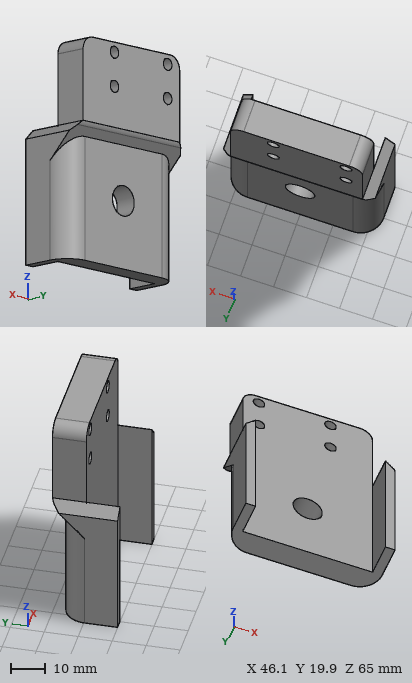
import cadquery as cq

height = 65.0
plate_width = 40.05
plate_depth = 10.0
top_corner_radius = 4.0

wing_thickness = 3.0
total_depth = 19.9
wing_height = 40.0
wing_chamfer = wing_thickness
overall_width = plate_width + 2 * wing_thickness

back_recess = 3.2
back_corner_radius = 7.0
overhang_top = 39.5
overhang_edge_radius = 3.0

pin_hole_diameter = 3.5
pin_hole_xs = (-15.0, 7.0)
pin_hole_zs = (52.0, 62.0)
main_hole_diameter = 9.0
main_hole_height = 20.0

plate_front = total_depth - plate_depth
lower_back = total_depth - back_recess


def box(width, y_start, y_end, z_height):
    """Box centred in X, standing on Z = 0."""
    return (
        cq.Workplane("XY")
        .box(width, y_end - y_start, z_height, centered=(True, False, False))
        .translate((0, y_start, 0))
    )


def make_plate():
    plate = box(plate_width, plate_front, total_depth, height)
    return plate.edges("|Y and >Z").fillet(top_corner_radius)


def make_winged_block(back):
    """Full-width block with sloping wing tops, reaching from Y = 0 to the given back."""
    block = box(overall_width, 0, back, wing_height)
    return block.edges("|Y and >Z").chamfer(wing_chamfer)


def make_upper_body():
    """Winged body, kept only above the 45 degree overhang."""
    body = make_winged_block(total_depth)
    side_outline = (
        cq.Workplane("YZ")
        .moveTo(0, overhang_top - total_depth)
        .lineTo(total_depth, overhang_top)
        .lineTo(total_depth, height)
        .lineTo(0, height)
        .close()
        .extrude(overall_width / 2, both=True)
    )
    overhang_edge = cq.selectors.NearestToPointSelector((0, total_depth, overhang_top))
    return body.intersect(side_outline.edges(overhang_edge).fillet(overhang_edge_radius))


def make_lower_body():
    """Winged body with the set-in back and rounded rear corners."""
    body = make_winged_block(lower_back)
    rounded = box(overall_width, 0, lower_back, wing_height)
    rounded = rounded.edges("|Z and >Y").fillet(back_corner_radius)
    return body.intersect(rounded)


def holes(diameter, centres):
    return (
        cq.Workplane("XZ")
        .pushPoints(centres)
        .circle(diameter / 2)
        .extrude(-total_depth)
    )


envelope = make_upper_body().union(make_lower_body())
channel = box(plate_width, 0, plate_front, height)
upper_plate = make_plate().cut(box(plate_width, 0, total_depth, wing_height))

pin_hole_centres = [(x, z) for x in pin_hole_xs for z in pin_hole_zs]
result = (
    envelope.cut(channel)
    .union(upper_plate)
    .cut(holes(pin_hole_diameter, pin_hole_centres))
    .cut(holes(main_hole_diameter, [(0, main_hole_height)]))
)